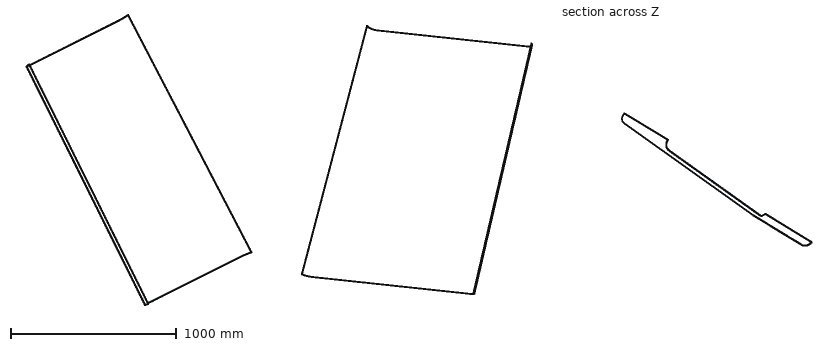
import cadquery as cq
import math

tilt = 58.282
panel_length = 1601.95
panel_width = 1069.14
thickness = 2.0
outer_radius = 50.0
far_taper = 1.76
end_flare = 5.0

bend_radius = outer_radius - thickness
overrun = 2 * outer_radius
stock_length = panel_length + 2 * overrun
far_slope = math.tan(math.radians(far_taper))


def far_bend_y(u):
    """Y of the far bend line at distance u down the slope."""
    return panel_width - (panel_length - u) * far_slope


def make_flat():
    """Flat web between the two bend lines, longer than needed at both ends."""
    start = -overrun
    end = panel_length + overrun
    outline = [(start, 0), (end, 0), (end, far_bend_y(end)), (start, far_bend_y(start))]
    return cq.Workplane("XY").polyline(outline).close().extrude(thickness)


def make_flange(side, length):
    """Quarter-round flange along X that curls up from Y = 0 towards side (+1 or -1)."""
    bend = math.sqrt(0.5)
    return (
        cq.Workplane("YZ")
        .moveTo(0, 0)
        .threePointArc(
            (side * outer_radius * bend, outer_radius * (1 - bend)),
            (side * outer_radius, outer_radius),
        )
        .lineTo(side * bend_radius, outer_radius)
        .threePointArc(
            (side * bend_radius * bend, outer_radius - bend_radius * bend),
            (0, thickness),
        )
        .close()
        .extrude(length)
    )


def make_end_envelope():
    """Side profile whose sloping ends trim the web and both flanges."""
    profile = [
        (0, 0),
        (panel_length, 0),
        (panel_length + end_flare, outer_radius),
        (-end_flare, outer_radius),
    ]
    reach = panel_width + 2 * overrun
    return cq.Workplane("XZ").polyline(profile).close().extrude(reach, both=True)


near_flange = make_flange(-1, stock_length).translate((-overrun, 0, 0))
far_flange = (
    make_flange(1, stock_length / math.cos(math.radians(far_taper)))
    .rotate((0, 0, 0), (0, 0, 1), far_taper)
    .translate((-overrun, far_bend_y(-overrun), 0))
)

panel = make_flat().union(near_flange).union(far_flange).intersect(make_end_envelope())
result = panel.rotate((0, 0, 0), (0, 1, 0), tilt)